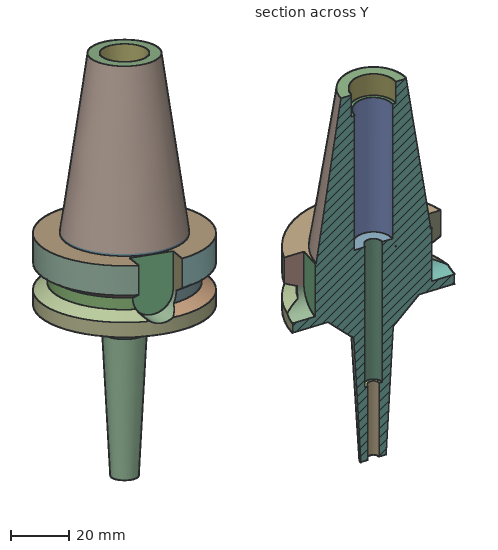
import cadquery as cq
import math

total_height = 155.4
gauge_height = 90.0
flange_top = 89.2
flange_bottom = 63.0
collar_bottom = 53.0

flange_radius = 63.0 / 2
taper_large_radius = 22.2
taper_small_radius = 12.7
nose_radius = 5.0
neck_half_angle = math.radians(3)
neck_radius = nose_radius + collar_bottom * math.tan(neck_half_angle)
collar_radius = neck_radius + flange_bottom - collar_bottom

groove_radius = 26.5
groove_side_angle = math.radians(30)
groove_floor_height = 4.4
groove_side_height = (flange_radius - groove_radius) * math.tan(groove_side_angle)
lower_land_height = 5.5
groove_bottom = flange_bottom + lower_land_height
groove_floor_bottom = groove_bottom + groove_side_height
groove_floor_top = groove_floor_bottom + groove_floor_height
groove_top = groove_floor_top + groove_side_height

slot_width = 16.3
slot_floor_x = 22.7
slot_depth = 22.0
slot_end_center = flange_top - slot_depth + slot_width / 2

bore_steps = [
    (8.5, 146.4),
    (7.3, gauge_height),
    (3.3, 31.1),
    (2.2, 0.0),
]


def make_body():
    """Turn the outside profile about the Z axis."""
    return (
        cq.Workplane("XZ")
        .polyline([
            (0, 0),
            (nose_radius, 0),
            (neck_radius, collar_bottom),
            (collar_radius, flange_bottom),
            (flange_radius, flange_bottom),
            (flange_radius, groove_bottom),
            (groove_radius, groove_floor_bottom),
            (groove_radius, groove_floor_top),
            (flange_radius, groove_top),
            (flange_radius, flange_top),
            (taper_large_radius, flange_top),
            (taper_large_radius, gauge_height),
            (taper_small_radius, total_height),
            (0, total_height),
        ])
        .close()
        .revolve(360, (0, 0, 0), (0, 1, 0))
    )


def make_drive_slot(side):
    """Round-bottomed slot, open at the flange top and rim; side is -1 or +1 along X."""
    half_width = slot_width / 2
    return (
        cq.Workplane("YZ", origin=(side * slot_floor_x, 0, 0))
        .moveTo(-half_width, flange_top)
        .lineTo(-half_width, slot_end_center)
        .threePointArc((0, flange_top - slot_depth), (half_width, slot_end_center))
        .lineTo(half_width, flange_top)
        .close()
        .extrude(side * (flange_radius - slot_floor_x))
    )


def make_bore():
    """Stack one cylinder per step, all reaching up to the top face."""
    bore = cq.Workplane("XY")
    for radius, floor in bore_steps:
        step = cq.Workplane("XY", origin=(0, 0, floor)).circle(radius).extrude(total_height - floor)
        bore = bore.union(step)
    return bore


result = make_body().cut(make_bore())
for slot_side in (-1, 1):
    result = result.cut(make_drive_slot(slot_side))